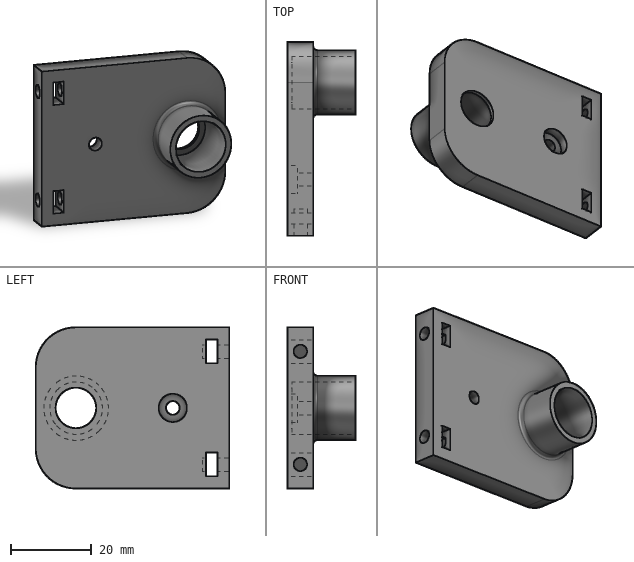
import cadquery as cq

length = 48.0
height = 40.0
thickness = 6.4
corner_radius = 10.0

total_depth = 16.85
boss_diameter = 16.0
lip_diameter = 10.0
lip_thickness = 1.0
bore_diameter = 13.0
boss_fillet = 1.0
boss_y = length / 2 - corner_radius

boss_to_screw = 24.0
screw_y = boss_y - boss_to_screw
screw_diameter = 3.3
counterbore_diameter = 7.0
counterbore_depth = 2.4

slot_width = 2.8
slot_height = 5.8
slot_edge_distance = 4.35
slot_y = -length / 2 + slot_edge_distance
slot_spacing = 28.0
bolt_diameter = 3.3
bolt_reach_past_slot = 1.0
bolt_depth = slot_edge_distance + slot_width / 2 + bolt_reach_past_slot


def make_plate():
    plate = cq.Workplane("XY").box(thickness, length, height, centered=(False, True, True))
    return plate.edges("|X and >Y").fillet(corner_radius)


def cylinder_along_x(y, diameter, start, end):
    profile = cq.Workplane("YZ", origin=(start, y, 0)).circle(diameter / 2)
    return profile.extrude(end - start)


def add_boss(body):
    boss = cylinder_along_x(boss_y, boss_diameter, 0, total_depth)
    body = body.union(boss)
    joint = cq.selectors.NearestToPointSelector((thickness, boss_y, 0))
    body = body.edges("%CIRCLE").edges(joint).fillet(boss_fillet)
    body = body.cut(cylinder_along_x(boss_y, lip_diameter, 0, total_depth))
    return body.cut(cylinder_along_x(boss_y, bore_diameter, lip_thickness, total_depth))


def cut_screw_hole(body):
    body = body.cut(cylinder_along_x(screw_y, screw_diameter, 0, thickness))
    return body.cut(cylinder_along_x(screw_y, counterbore_diameter, 0, counterbore_depth))


def cut_nut_slot_and_bolt_hole(body, z):
    slot = cq.Workplane("YZ", origin=(0, slot_y, z)).rect(slot_width, slot_height).extrude(thickness)
    bolt_start = (thickness / 2, -length / 2, z)
    bolt_hole = cq.Workplane("XZ", origin=bolt_start).circle(bolt_diameter / 2).extrude(-bolt_depth)
    return body.cut(slot).cut(bolt_hole)


result = add_boss(make_plate())
result = cut_screw_hole(result)
for slot_z in (-slot_spacing / 2, slot_spacing / 2):
    result = cut_nut_slot_and_bolt_hole(result, slot_z)